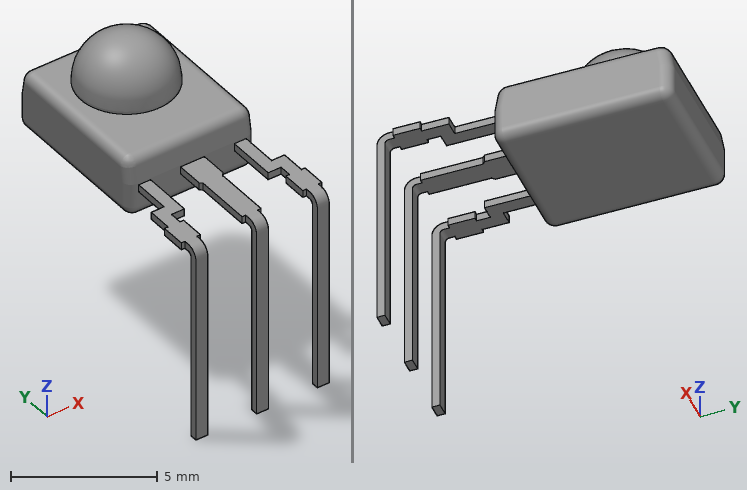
import cadquery as cq
import math


HOUSING_WIDTH = 5.3
HOUSING_LENGTH = 6.6
HOUSING_HEIGHT = 2.4
HOUSING_ROUND = 0.4
DRAFT_HEIGHT = 1.0
DRAFT_ANGLE = 10.0
LENS_TO_FRONT = 3.9

FRONT_Y = -LENS_TO_FRONT
BACK_Y = FRONT_Y + HOUSING_LENGTH

LENS_RADIUS = 1.9
LENS_HEIGHT = 1.9
LENS_ROUND = 1.8

LEAD_PITCH = 2.54
LEAD_THICKNESS = 0.3
LEAD_WIDTH = 0.5
PAD_WIDTH = 0.8
LEAD_REACH = 4.15
BEND_INNER_RADIUS = 0.15
TOTAL_HEIGHT = 11.1

BEND_OUTER_RADIUS = BEND_INNER_RADIUS + LEAD_THICKNESS
BEND_START = LEAD_REACH - BEND_OUTER_RADIUS
LEAD_BOTTOM_Z = (HOUSING_HEIGHT - LEAD_THICKNESS) / 2
LEAD_TOP_Z = LEAD_BOTTOM_Z + LEAD_THICKNESS
LEG_END_Z = HOUSING_HEIGHT + LENS_HEIGHT - TOTAL_HEIGHT

LEAD_OVERLAP = 0.5
JOG_START = 1.5
JOG_END = JOG_START + LEAD_WIDTH
PAD_START = 2.5
PAD_END = 3.5

OUTER_ROOT_X = 2.0

MIDDLE_ROOT_WIDTH = 1.0
TAPER_START = 1.1
TAPER_LENGTH = (MIDDLE_ROOT_WIDTH - PAD_WIDTH) / 2


def make_housing():
    """Block with sloped upper end faces and rounded edges, sharp at the slope change."""
    slope_z = HOUSING_HEIGHT - DRAFT_HEIGHT
    inset = DRAFT_HEIGHT * math.tan(math.radians(DRAFT_ANGLE))
    side_profile = [
        (FRONT_Y, 0),
        (BACK_Y, 0),
        (BACK_Y, slope_z),
        (BACK_Y - inset, HOUSING_HEIGHT),
        (FRONT_Y + inset, HOUSING_HEIGHT),
        (FRONT_Y, slope_z),
    ]
    block = cq.Workplane("YZ").polyline(side_profile).close().extrude(HOUSING_WIDTH / 2, both=True)
    corners_rounded = block.edges("not(#Z)").fillet(HOUSING_ROUND)
    return corners_rounded.faces("<Z or >Z").edges().fillet(HOUSING_ROUND)


def flat_strip(center_x, width, start, end):
    """Flat lead section between two distances from the front face."""
    return (
        cq.Workplane("XY", origin=(center_x, FRONT_Y - (start + end) / 2, LEAD_BOTTOM_Z))
        .box(width, end - start, LEAD_THICKNESS, centered=(True, True, False))
    )


def bent_leg(center_x):
    """Lead end that runs past the pad, bends down and hangs as a straight leg."""
    pad_end_y = FRONT_Y - PAD_END
    bend_start_y = FRONT_Y - BEND_START
    outer_y = FRONT_Y - LEAD_REACH
    inner_y = outer_y + LEAD_THICKNESS
    bend_z = LEAD_TOP_Z - BEND_OUTER_RADIUS
    diagonal = math.sqrt(0.5)
    outer_mid = (bend_start_y - BEND_OUTER_RADIUS * diagonal, bend_z + BEND_OUTER_RADIUS * diagonal)
    inner_mid = (bend_start_y - BEND_INNER_RADIUS * diagonal, bend_z + BEND_INNER_RADIUS * diagonal)
    return (
        cq.Workplane("YZ", origin=(center_x, 0, 0))
        .moveTo(pad_end_y, LEAD_TOP_Z)
        .lineTo(bend_start_y, LEAD_TOP_Z)
        .threePointArc(outer_mid, (outer_y, bend_z))
        .lineTo(outer_y, LEG_END_Z)
        .lineTo(inner_y, LEG_END_Z)
        .lineTo(inner_y, bend_z)
        .threePointArc(inner_mid, (bend_start_y, LEAD_BOTTOM_Z))
        .lineTo(pad_end_y, LEAD_BOTTOM_Z)
        .close()
        .extrude(LEAD_WIDTH / 2, both=True)
    )


def make_outer_lead(side):
    """Outer lead with an outward jog; side is -1 for left and +1 for right."""
    root_x = side * OUTER_ROOT_X
    leg_x = side * LEAD_PITCH
    jog_width = LEAD_PITCH - OUTER_ROOT_X + LEAD_WIDTH
    root = flat_strip(root_x, LEAD_WIDTH, -LEAD_OVERLAP, JOG_END)
    jog = flat_strip((root_x + leg_x) / 2, jog_width, JOG_START, JOG_END)
    neck = flat_strip(leg_x, LEAD_WIDTH, JOG_START, PAD_START)
    pad = flat_strip(leg_x, PAD_WIDTH, PAD_START, PAD_END)
    return root.union(jog).union(neck).union(pad).union(bent_leg(leg_x))


def make_middle_lead():
    """Straight lead with a wide root that tapers to the pad width."""
    root_half = MIDDLE_ROOT_WIDTH / 2
    pad_half = PAD_WIDTH / 2
    root_y = FRONT_Y + LEAD_OVERLAP
    taper_start_y = FRONT_Y - TAPER_START
    taper_end_y = taper_start_y - TAPER_LENGTH
    pad_end_y = FRONT_Y - PAD_END
    outline = [
        (-root_half, root_y),
        (root_half, root_y),
        (root_half, taper_start_y),
        (pad_half, taper_end_y),
        (pad_half, pad_end_y),
        (-pad_half, pad_end_y),
        (-pad_half, taper_end_y),
        (-root_half, taper_start_y),
    ]
    flat = (
        cq.Workplane("XY", origin=(0, 0, LEAD_BOTTOM_Z))
        .polyline(outline)
        .close()
        .extrude(LEAD_THICKNESS)
    )
    return flat.union(bent_leg(0))


def make_leaded_housing():
    """Housing and its three leads as one solid."""
    body = make_housing().union(make_middle_lead())
    for side in (-1, 1):
        body = body.union(make_outer_lead(side))
    return body


def make_lens():
    """Domed lens standing on the top face of the housing."""
    return (
        cq.Workplane("XY", origin=(0, 0, HOUSING_HEIGHT))
        .circle(LENS_RADIUS)
        .extrude(LENS_HEIGHT)
        .faces(">Z")
        .edges()
        .fillet(LENS_ROUND)
    )


leaded_housing = make_leaded_housing()
lens = make_lens()

result = cq.Compound.makeCompound([leaded_housing.val(), lens.val()])